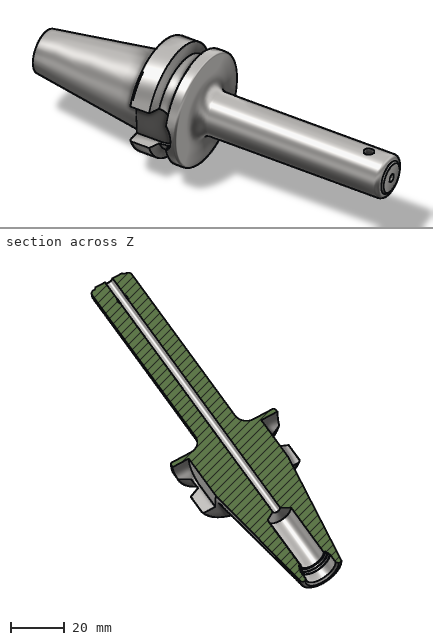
import cadquery as cq
import math

GAUGE_DIAMETER = 31.75
TAPER_RATIO = 7 / 24
TAPER_LENGTH = 48.4
TAPER_TIP_ROUND = 0.9
TAPER_ROOT_RADIUS = 0.5
REACH = 102.0

FLANGE_DIAMETER = 46.0
FLANGE_START = 1.15
FLANGE_END = 22.0
FLANGE_EDGE_RADIUS = 1.0

GROOVE_CENTRE = 13.6
GROOVE_MOUTH_WIDTH = 7.8
GROOVE_FLOOR_WIDTH = 4.1
GROOVE_FLOOR_DIAMETER = 38.0

KEYWAY_WIDTH = 16.4
KEYWAY_FLOOR_OFFSET = 16.0
KEYWAY_END = 19.9

SHANK_DIAMETER = 17.53
NECK_RADIUS = 5.0
SHANK_TIP_RADIUS = 1.8
SHANK_NOSE_DIAMETER = 13.1
SHANK_NOSE_HEIGHT = 0.7

MOUTH_DIAMETER = 14.6
MOUTH_BEVEL_LENGTH = 1.0
COUNTERBORE_STEPS = (
    (13.1, 5.0),
    (12.5, 6.0),
    (11.7, 7.0),
)
STUD_HOLE_DIAMETER = 10.11
STUD_HOLE_DEPTH = 30.0
DRILL_POINT_ANGLE = 118.0
COOLANT_DIAMETER = 3.17

CROSS_HOLE_DIAMETER = 3.96
CROSS_HOLE_X = 92.2


def taper_radius(x):
    """Radius of the tapered surface at axial position x."""
    return (GAUGE_DIAMETER + TAPER_RATIO * x) / 2


def round_middle(centre_x, centre_r, radius, x_side, r_side):
    """Middle point of a quarter round; the sides (+1 or -1) point from its centre to the arc."""
    reach = radius * math.sqrt(0.5)
    return (centre_x + x_side * reach, centre_r + r_side * reach)


def make_body():
    """Revolve taper, flange, neck and shank as one profile."""
    tip_x = -TAPER_LENGTH
    tip_round_x = tip_x + TAPER_TIP_ROUND
    tip_round_r = taper_radius(tip_round_x) - TAPER_TIP_ROUND
    root_x = FLANGE_START - TAPER_ROOT_RADIUS
    root_r = taper_radius(root_x) + TAPER_ROOT_RADIUS

    flange_radius = FLANGE_DIAMETER / 2
    edge_r = flange_radius - FLANGE_EDGE_RADIUS
    edge_start_x = FLANGE_START + FLANGE_EDGE_RADIUS
    edge_end_x = FLANGE_END - FLANGE_EDGE_RADIUS
    edge_start_middle = round_middle(edge_start_x, edge_r, FLANGE_EDGE_RADIUS, -1, 1)
    edge_end_middle = round_middle(edge_end_x, edge_r, FLANGE_EDGE_RADIUS, 1, 1)

    groove_radius = GROOVE_FLOOR_DIAMETER / 2
    mouth_half = GROOVE_MOUTH_WIDTH / 2
    floor_half = GROOVE_FLOOR_WIDTH / 2

    shank_radius = SHANK_DIAMETER / 2
    neck_x = FLANGE_END + NECK_RADIUS
    neck_r = shank_radius + NECK_RADIUS

    nose_x = REACH - SHANK_NOSE_HEIGHT
    nose_radius = SHANK_NOSE_DIAMETER / 2
    shank_round_x = nose_x - SHANK_TIP_RADIUS
    shank_round_r = shank_radius - SHANK_TIP_RADIUS

    profile = (
        cq.Workplane("XY")
        .moveTo(tip_x, 0)
        .lineTo(tip_x, tip_round_r)
        .threePointArc(
            round_middle(tip_round_x, tip_round_r, TAPER_TIP_ROUND, -1, 1),
            (tip_round_x, taper_radius(tip_round_x)),
        )
        .lineTo(root_x, taper_radius(root_x))
        .threePointArc(
            round_middle(root_x, root_r, TAPER_ROOT_RADIUS, 1, -1),
            (FLANGE_START, root_r),
        )
        .lineTo(FLANGE_START, edge_r)
        .threePointArc(edge_start_middle, (edge_start_x, flange_radius))
        .lineTo(GROOVE_CENTRE - mouth_half, flange_radius)
        .lineTo(GROOVE_CENTRE - floor_half, groove_radius)
        .lineTo(GROOVE_CENTRE + floor_half, groove_radius)
        .lineTo(GROOVE_CENTRE + mouth_half, flange_radius)
        .lineTo(edge_end_x, flange_radius)
        .threePointArc(edge_end_middle, (FLANGE_END, edge_r))
        .lineTo(FLANGE_END, neck_r)
        .threePointArc(round_middle(neck_x, neck_r, NECK_RADIUS, -1, -1), (neck_x, shank_radius))
        .lineTo(shank_round_x, shank_radius)
        .threePointArc(
            round_middle(shank_round_x, shank_round_r, SHANK_TIP_RADIUS, 1, 1),
            (nose_x, shank_round_r),
        )
        .lineTo(nose_x, nose_radius)
        .lineTo(REACH, nose_radius - SHANK_NOSE_HEIGHT)
        .lineTo(REACH, 0)
        .close()
    )
    return profile.revolve(360, (0, 0, 0), (1, 0, 0))


def make_bore():
    """Revolve the stepped pull-stud hole and the coolant passage behind it."""
    tip_x = -TAPER_LENGTH
    entry_radius = COUNTERBORE_STEPS[0][0] / 2
    stud_radius = STUD_HOLE_DIAMETER / 2
    coolant_radius = COOLANT_DIAMETER / 2
    stud_x = tip_x + STUD_HOLE_DEPTH
    point_length = (stud_radius - coolant_radius) / math.tan(math.radians(DRILL_POINT_ANGLE / 2))

    profile = (
        cq.Workplane("XY")
        .moveTo(tip_x, 0)
        .lineTo(tip_x, MOUTH_DIAMETER / 2)
        .lineTo(tip_x + MOUTH_BEVEL_LENGTH, entry_radius)
    )
    step_radii = [diameter / 2 for diameter, _ in COUNTERBORE_STEPS] + [stud_radius]
    for (_, depth), radius, next_radius in zip(COUNTERBORE_STEPS, step_radii, step_radii[1:]):
        profile = profile.lineTo(tip_x + depth, radius).lineTo(tip_x + depth, next_radius)
    profile = (
        profile.lineTo(stud_x, stud_radius)
        .lineTo(stud_x + point_length, coolant_radius)
        .lineTo(REACH, coolant_radius)
        .lineTo(REACH, 0)
        .close()
    )
    return profile.revolve(360, (0, 0, 0), (1, 0, 0))


def make_keyway(side):
    """Round-ended drive slot cutter from the gauge plane, on one side (+1 or -1) in Y."""
    half_width = KEYWAY_WIDTH / 2
    depth = FLANGE_DIAMETER / 2 - KEYWAY_FLOOR_OFFSET
    round_x = KEYWAY_END - half_width
    outline = (
        cq.Workplane("XZ", origin=(0, side * KEYWAY_FLOOR_OFFSET, 0))
        .moveTo(0, -half_width)
        .lineTo(round_x, -half_width)
        .threePointArc((KEYWAY_END, 0), (round_x, half_width))
        .lineTo(0, half_width)
        .close()
    )
    return outline.extrude(-side * depth)


def make_cross_hole():
    """Radial hole from the top of the shank down to the coolant passage."""
    return (
        cq.Workplane("XY")
        .center(CROSS_HOLE_X, 0)
        .circle(CROSS_HOLE_DIAMETER / 2)
        .extrude(SHANK_DIAMETER)
    )


result = make_body().cut(make_bore())
for keyway_side in (-1, 1):
    result = result.cut(make_keyway(keyway_side))
result = result.cut(make_cross_hole())